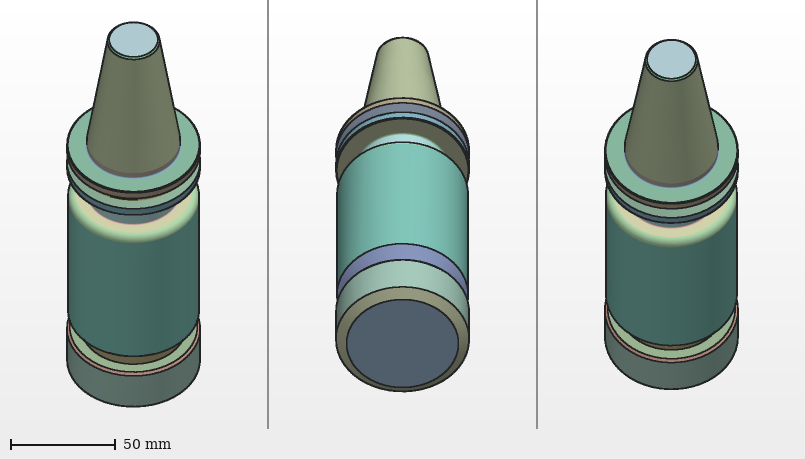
import cadquery as cq

total_height = 220.6

nut_radius = 31.8
nut_top = 25.5
nut_bottom_bevel_height = 3.3
nut_bottom_bevel_width = 5.0
nut_top_chamfer = 1.3

neck_radius = 25.2
body_radius = 31.3
body_cone_top = 37.0
body_top = 117.5
body_edge_radius = 3.5

collar_radius = 22.3
flange_radius = 31.8
flange_bottom = 133.3
flange_height = 15.9
flange_edge_chamfer = 0.5
groove_radius = 56.3 / 2
groove_center = 141.5
groove_floor_height = 2.9
groove_mouth_height = 7.0

gauge_radius = 22.3
gauge_height = 152.5
taper_ratio = 7 / 24
tip_chamfer = 0.9

corner_fillet = 0.7

body_cone_bottom = body_cone_top - (body_radius - neck_radius)
flange_top = flange_bottom + flange_height


def taper_radius(z):
    """Radius of the shank cone at height z."""
    return gauge_radius - (z - gauge_height) * taper_ratio / 2


def add_nut_and_body(profile):
    """Trace the nut, the neck and the main body upwards from the axis."""
    return (
        profile
        .lineTo(nut_radius - nut_bottom_bevel_width, 0)
        .lineTo(nut_radius, nut_bottom_bevel_height)
        .lineTo(nut_radius, nut_top - nut_top_chamfer)
        .lineTo(nut_radius - nut_top_chamfer, nut_top)
        .lineTo(neck_radius, nut_top)
        .lineTo(neck_radius, body_cone_bottom)
        .lineTo(body_radius, body_cone_top)
        .lineTo(body_radius, body_top - body_edge_radius)
        .radiusArc((body_radius - body_edge_radius, body_top), -body_edge_radius)
        .lineTo(collar_radius + corner_fillet, body_top)
        .radiusArc((collar_radius, body_top + corner_fillet), corner_fillet)
    )


def add_flange(profile):
    """Trace the collar and the grooved flange."""
    return (
        profile
        .lineTo(collar_radius, flange_bottom - corner_fillet)
        .radiusArc((collar_radius + corner_fillet, flange_bottom), corner_fillet)
        .lineTo(flange_radius - flange_edge_chamfer, flange_bottom)
        .lineTo(flange_radius, flange_bottom + flange_edge_chamfer)
        .lineTo(flange_radius, groove_center - groove_mouth_height / 2)
        .lineTo(groove_radius, groove_center - groove_floor_height / 2)
        .lineTo(groove_radius, groove_center + groove_floor_height / 2)
        .lineTo(flange_radius, groove_center + groove_mouth_height / 2)
        .lineTo(flange_radius, flange_top - flange_edge_chamfer)
        .lineTo(flange_radius - flange_edge_chamfer, flange_top)
        .lineTo(gauge_radius + corner_fillet, flange_top)
        .radiusArc((gauge_radius, flange_top + corner_fillet), corner_fillet)
    )


def add_shank(profile):
    """Trace the short cylinder and the taper up to the chamfered tip, ending on the axis."""
    tip_edge = total_height - tip_chamfer
    return (
        profile
        .lineTo(gauge_radius, gauge_height)
        .lineTo(taper_radius(tip_edge), tip_edge)
        .lineTo(taper_radius(tip_edge) - tip_chamfer, total_height)
        .lineTo(0, total_height)
    )


half_profile = add_shank(add_flange(add_nut_and_body(cq.Workplane("XZ").moveTo(0, 0))))
solid = half_profile.close().revolve(360, (0, 0, 0), (0, 1, 0))

floor_offset = groove_floor_height / 2
groove_corners = cq.selectors.BoxSelector(
    (-flange_radius, -flange_radius, groove_center - floor_offset - corner_fillet),
    (flange_radius, flange_radius, groove_center + floor_offset + corner_fillet),
)
result = solid.edges(groove_corners).edges("%CIRCLE").fillet(corner_fillet)